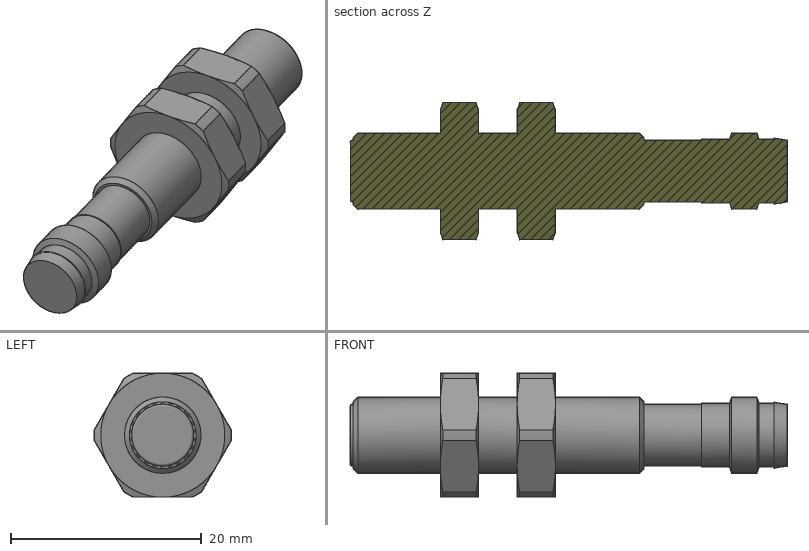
import cadquery as cq
import math

total_length = 45.8
barrel_diameter = 8.0
barrel_end = 30.8
barrel_chamfer = 0.5

cap_diameter = 6.5
cap_protrusion = 0.3
cap_edge_radius = 0.25

neck_diameter = 6.5
sleeve_diameter = 6.7
sleeve_start = 36.8
collar_diameter = 8.0
collar_start = 39.75
collar_end = 42.85
collar_front_slope = 0.2
collar_rear_slope = 0.25
nose_start = 44.4
nose_start_diameter = 6.95
nose_end_diameter = 6.5

nut_across_flats = 13.0
nut_corner_diameter = 14.4
nut_face_diameter = nut_across_flats
nut_thickness = 4.0
nut_chamfer_angle = 20.0
nut_starts = (9.45, 17.5)


def cylinder(start, end, diameter):
    """Solid cylinder along X between two X positions."""
    return cq.Workplane("YZ", origin=(start, 0, 0)).circle(diameter / 2).extrude(end - start)


def cone(start, end, start_diameter, end_diameter):
    """Solid truncated cone along X between two X positions."""
    return (
        cq.Workplane("YZ", origin=(start, 0, 0))
        .circle(start_diameter / 2)
        .workplane(offset=end - start)
        .circle(end_diameter / 2)
        .loft(ruled=True)
    )


def make_barrel():
    """Barrel chamfered at both ends, with the rounded cap in front."""
    barrel = cylinder(cap_protrusion, barrel_end, barrel_diameter)
    barrel = barrel.faces("<X or >X").chamfer(barrel_chamfer)
    cap = cylinder(0, cap_protrusion, cap_diameter)
    cap = cap.faces("<X").edges().fillet(cap_edge_radius)
    return barrel.union(cap)


def make_connector():
    """Neck, sleeve, snap collar and tapered nose."""
    neck = cylinder(barrel_end, sleeve_start, neck_diameter)
    sleeve = cylinder(sleeve_start, nose_start, sleeve_diameter)
    rim_start = collar_start + collar_front_slope
    rim_end = collar_end - collar_rear_slope
    collar = (
        cone(collar_start, rim_start, sleeve_diameter, collar_diameter)
        .union(cylinder(rim_start, rim_end, collar_diameter))
        .union(cone(rim_end, collar_end, collar_diameter, sleeve_diameter))
    )
    nose = cone(nose_start, total_length, nose_start_diameter, nose_end_diameter)
    return neck.union(sleeve).union(collar).union(nose)


def make_nut(start):
    """Solid hexagon nut with turned corners, chamfered on both faces."""
    across_corners = nut_across_flats / math.cos(math.radians(30))
    hexagon = (
        cq.Workplane("YZ", origin=(start, 0, 0))
        .polygon(6, across_corners)
        .extrude(nut_thickness)
    )
    chamfer_width = (nut_corner_diameter - nut_face_diameter) / 2
    chamfer_depth = chamfer_width * math.tan(math.radians(nut_chamfer_angle))
    end = start + nut_thickness
    envelope = (
        cone(start, start + chamfer_depth, nut_face_diameter, nut_corner_diameter)
        .union(cylinder(start + chamfer_depth, end - chamfer_depth, nut_corner_diameter))
        .union(cone(end - chamfer_depth, end, nut_corner_diameter, nut_face_diameter))
    )
    return hexagon.intersect(envelope)


result = make_barrel().union(make_connector())
for nut_start in nut_starts:
    result = result.union(make_nut(nut_start))